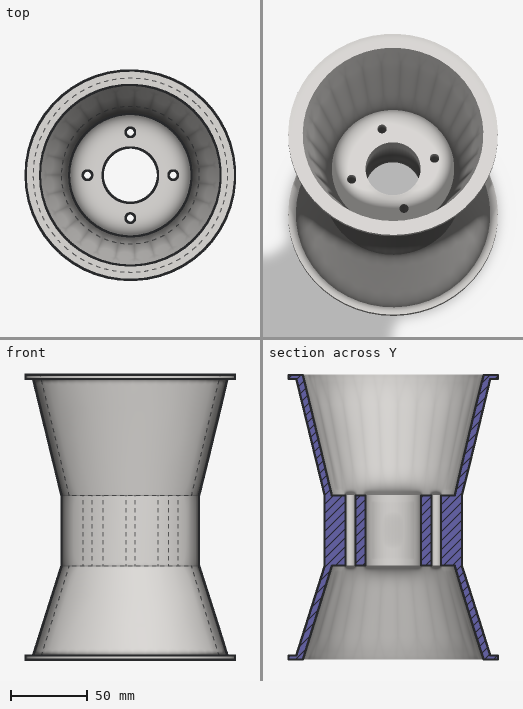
import cadquery as cq

total_height = 186.34
flange_diameter = 137.0
flange_thickness = 3.0

hub_diameter = 90.0
hub_height = 46.0
upper_cone_height = 76.0
bead_diameter = 127.0

mouth_diameter = 118.0
floor_diameter = 80.0

bore_diameter = 36.0
bolt_hole_diameter = 6.0
bolt_hole_count = 4
bolt_circle_diameter = 56.0

upper_flange_base = total_height - flange_thickness
hub_top = upper_flange_base - upper_cone_height
hub_bottom = hub_top - hub_height


def revolved_barrel():
    """Flanges, cones and hub with both end recesses, as one profile turned about Z."""
    profile = [
        (0, hub_bottom),
        (-floor_diameter / 2, hub_bottom),
        (-mouth_diameter / 2, 0),
        (-flange_diameter / 2, 0),
        (-flange_diameter / 2, flange_thickness),
        (-bead_diameter / 2, flange_thickness),
        (-hub_diameter / 2, hub_bottom),
        (-hub_diameter / 2, hub_top),
        (-bead_diameter / 2, upper_flange_base),
        (-flange_diameter / 2, upper_flange_base),
        (-flange_diameter / 2, total_height),
        (-mouth_diameter / 2, total_height),
        (-floor_diameter / 2, hub_top),
        (0, hub_top),
    ]
    return cq.Workplane("XZ").polyline(profile).close().revolve(360, (0, 0), (0, 1))


def hub_holes():
    """Cutters for the centre bore and the ring of bolt holes, as long as the hub."""
    hub_base = cq.Workplane("XY").workplane(offset=hub_bottom)
    bore = hub_base.circle(bore_diameter / 2).extrude(hub_height)
    bolt_holes = (
        hub_base.polarArray(bolt_circle_diameter / 2, 0, 360, bolt_hole_count)
        .circle(bolt_hole_diameter / 2)
        .extrude(hub_height)
    )
    return bore.union(bolt_holes)


result = revolved_barrel().cut(hub_holes())